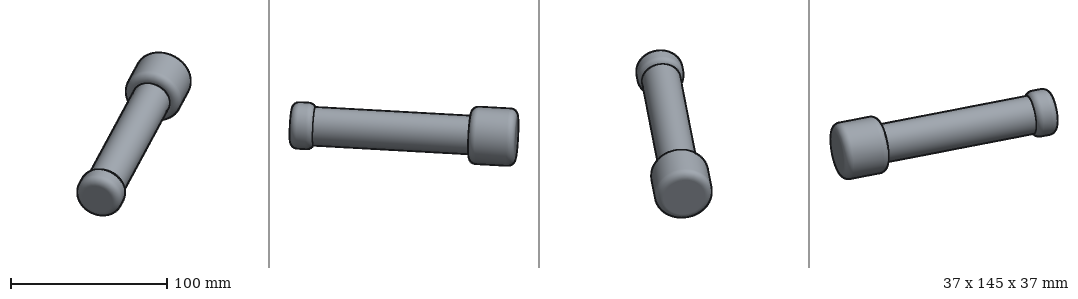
import cadquery as cq
import math

total_length = 145.0

head_diameter = 37.0
head_length = 30.0

knob_diameter = 30.0
knob_length = head_length / 2

shaft_diameter = 25.0
edge_radius = 5.0


def cylinder_along_y(diameter, start_y, length):
    """Solid cylinder running from start_y towards +Y."""
    return cq.Workplane("XZ", origin=(0, start_y, 0)).circle(diameter / 2).extrude(-length)


def rounded_cylinder(diameter, start_y, length):
    """Cylinder along Y with both end rims rounded."""
    return cylinder_along_y(diameter, start_y, length).edges("%CIRCLE").fillet(edge_radius)


knob_end_y = -total_length / 2
head_start_y = total_length / 2 - head_length
shaft_start_y = knob_end_y + knob_length / 2

rim_center_radius = knob_diameter / 2 - edge_radius
rim_offset = shaft_diameter / 2 - rim_center_radius
hidden_knob_length = edge_radius - math.sqrt(edge_radius**2 - rim_offset**2)
full_knob_length = knob_length + hidden_knob_length

knob = rounded_cylinder(knob_diameter, knob_end_y, full_knob_length)
head = rounded_cylinder(head_diameter, head_start_y, head_length)
shaft = cylinder_along_y(shaft_diameter, shaft_start_y, head_start_y - shaft_start_y)

result = shaft.union(knob).union(head)